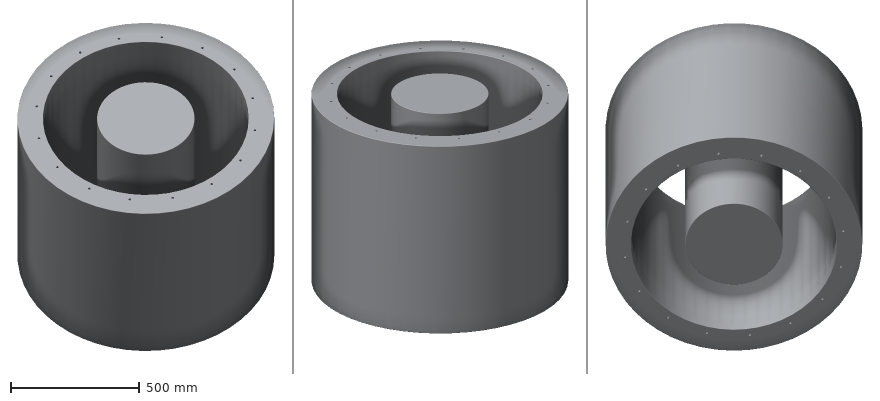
import cadquery as cq

outer_diameter = 1000.0
bore_diameter = 800.0
height = 800.0

core_diameter = 380.0

edge_radius = 2.0

hole_count = 16
hole_diameter = 10.0
hole_circle_radius = 429.0
hole_pitch_angle = 360.0 / hole_count
first_hole_angle = hole_pitch_angle / 2


def make_ring():
    """Tube with rounded ends and a circle of axial holes."""
    tube = (
        cq.Workplane("XY")
        .circle(outer_diameter / 2)
        .circle(bore_diameter / 2)
        .extrude(height)
        .faces("<Z or >Z")
        .edges()
        .fillet(edge_radius)
    )
    holes = (
        cq.Workplane("XY")
        .polarArray(hole_circle_radius, first_hole_angle, 360, hole_count)
        .circle(hole_diameter / 2)
        .extrude(height)
    )
    return tube.cut(holes)


def make_core():
    """Solid cylinder with rounded ends."""
    return (
        cq.Workplane("XY")
        .circle(core_diameter / 2)
        .extrude(height)
        .faces("<Z or >Z")
        .edges()
        .fillet(edge_radius)
    )


ring = make_ring()
core = make_core()
result = cq.Compound.makeCompound([ring.solids().val(), core.val()])